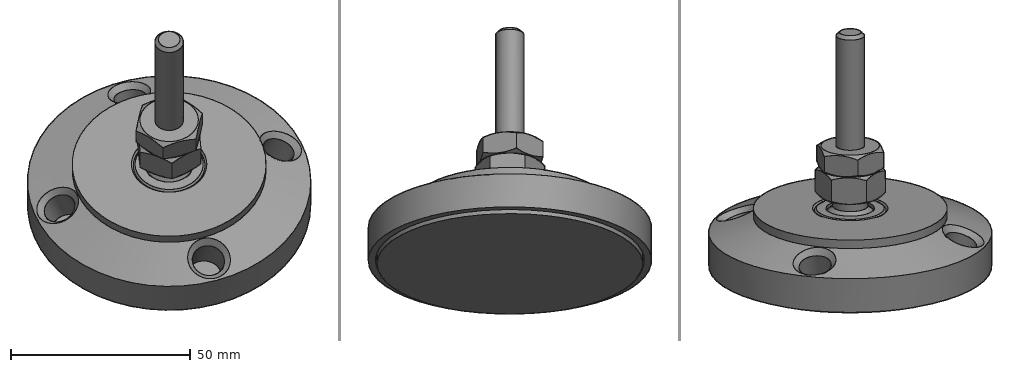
import cadquery as cq
import math

PAD_EXPOSED = 1.0
PAD_THICKNESS = 3.0
RIM_TOP = 11.0
FLANGE_TOP = 18.0
HEX_BOTTOM = 22.05
HEX_HEIGHT = 8.0
NUT_HEIGHT = 6.5
STUD_TOP = 70.0

HOUSING_DIAMETER = 79.0
FLANGE_DIAMETER = 54.0
CONE_ANGLE = 20.0
PAD_DIAMETER = 74.0
PAD_RECESS_DIAMETER = 75.0
BORE_DIAMETER = 20.0
BORE_CHAMFER_DIAMETER = 21.0

HOLE_COUNT = 4
HOLE_DIAMETER = 9.0
COUNTERSINK_DIAMETER = 12.3
HOLE_RADIUS = 33.0

INSERT_THICKNESS = 6.95
INSERT_HOLE_DIAMETER = 13.4

STUD_DIAMETER = 8.0
STUD_TIP_DIAMETER = 6.0
NECK_DIAMETER = 9.9
NECK_BOTTOM = 18.7
FOOT_DIAMETER = 12.95
HEX_ACROSS_FLATS = 17.0
HEX_FACE_DIAMETER = 16.75
NUT_FACE_DIAMETER = 16.3
HEX_CHAMFER_ANGLE = 30.0
HEX_TURN = -15.0
NUT_TURN = 30.0

shoulder_top = RIM_TOP + (HOUSING_DIAMETER - FLANGE_DIAMETER) / 2 * math.tan(math.radians(CONE_ANGLE))
hole_mouth_z = RIM_TOP + (HOUSING_DIAMETER / 2 - HOLE_RADIUS) * math.tan(math.radians(CONE_ANGLE))
countersink_depth = (COUNTERSINK_DIAMETER - HOLE_DIAMETER) / 2
bore_chamfer = (BORE_CHAMFER_DIAMETER - BORE_DIAMETER) / 2
insert_bottom = FLANGE_TOP - INSERT_THICKNESS
flare_bottom = NECK_BOTTOM - (FOOT_DIAMETER - NECK_DIAMETER) / 2
nut_bottom = HEX_BOTTOM + HEX_HEIGHT


def revolve_profile(points):
    """Revolve a closed (radius, height) outline about the Z axis."""
    return cq.Workplane("XZ").polyline(points).close().revolve(360, (0, 0, 0), (0, 1, 0))


def cylinder(diameter, bottom, top):
    return cq.Workplane("XY").workplane(offset=bottom).circle(diameter / 2).extrude(top - bottom)


def hole_cutter(direction):
    """Tilted countersunk drill whose tip end is trimmed level with the pad."""
    reach = HOUSING_DIAMETER / 4
    overrun = countersink_depth
    drill_radius = HOLE_DIAMETER / 2
    mouth_radius = COUNTERSINK_DIAMETER / 2
    drill = revolve_profile([
        (0, -reach),
        (drill_radius, -reach),
        (drill_radius, -countersink_depth),
        (mouth_radius, 0),
        (mouth_radius, overrun),
        (0, overrun),
    ])
    drill = drill.rotate((0, 0, 0), (0, 1, 0), CONE_ANGLE).translate((HOLE_RADIUS, 0, hole_mouth_z))
    drill = drill.intersect(cylinder(2 * HOUSING_DIAMETER, PAD_THICKNESS, STUD_TOP))
    return drill.rotate((0, 0, 0), (0, 0, 1), direction)


def make_housing():
    outer = HOUSING_DIAMETER / 2
    flange = FLANGE_DIAMETER / 2
    recess = PAD_RECESS_DIAMETER / 2
    bore = BORE_DIAMETER / 2
    body = revolve_profile([
        (recess, PAD_EXPOSED),
        (outer, PAD_EXPOSED),
        (outer, RIM_TOP),
        (flange, shoulder_top),
        (flange, FLANGE_TOP),
        (bore + bore_chamfer, FLANGE_TOP),
        (bore, FLANGE_TOP - bore_chamfer),
        (bore, insert_bottom),
        (0, insert_bottom),
        (0, PAD_THICKNESS),
        (recess, PAD_THICKNESS),
    ])
    for index in range(HOLE_COUNT):
        body = body.cut(hole_cutter(index * 360 / HOLE_COUNT))
    return body


def make_pad():
    return cylinder(PAD_DIAMETER, 0, PAD_THICKNESS)


def make_insert():
    """Ring whose chamfered edge forms a V-groove with the edge of the bore."""
    ring = cylinder(BORE_DIAMETER, insert_bottom, FLANGE_TOP).faces(">Z").edges().chamfer(bore_chamfer)
    return ring.cut(cylinder(INSERT_HOLE_DIAMETER, insert_bottom, FLANGE_TOP))


def hexagon(bottom, height, turn, face_diameter):
    """Hexagonal prism with both ends chamfered by a cone."""
    corner_diameter = HEX_ACROSS_FLATS / math.cos(math.pi / 6)
    prism = cq.Workplane("XY").polygon(6, corner_diameter).extrude(height)
    face = face_diameter / 2
    corner = corner_diameter / 2
    chamfer = (corner - face) * math.tan(math.radians(HEX_CHAMFER_ANGLE))
    envelope = revolve_profile([
        (0, 0),
        (face, 0),
        (corner, chamfer),
        (corner, height - chamfer),
        (face, height),
        (0, height),
    ])
    return prism.intersect(envelope).rotate((0, 0, 0), (0, 0, 1), turn).translate((0, 0, bottom))


def make_stud():
    """Threaded rod, fixed hexagon, neck and flared foot in one piece."""
    rod = STUD_DIAMETER / 2
    tip = STUD_TIP_DIAMETER / 2
    neck = NECK_DIAMETER / 2
    foot = FOOT_DIAMETER / 2
    shaft = revolve_profile([
        (0, insert_bottom),
        (foot, insert_bottom),
        (foot, flare_bottom),
        (neck, NECK_BOTTOM),
        (neck, HEX_BOTTOM),
        (rod, HEX_BOTTOM),
        (rod, STUD_TOP - (rod - tip)),
        (tip, STUD_TOP),
        (0, STUD_TOP),
    ])
    return shaft.union(hexagon(HEX_BOTTOM, HEX_HEIGHT, HEX_TURN, HEX_FACE_DIAMETER))


def make_lock_nut():
    nut = hexagon(nut_bottom, NUT_HEIGHT, NUT_TURN, NUT_FACE_DIAMETER)
    return nut.cut(cylinder(STUD_DIAMETER, nut_bottom, nut_bottom + NUT_HEIGHT))


housing = make_housing()
pad = make_pad()
insert = make_insert()
stud = make_stud()
lock_nut = make_lock_nut()

result = cq.Compound.makeCompound([
    housing.val(),
    pad.val(),
    insert.val(),
    stud.val(),
    lock_nut.val(),
])